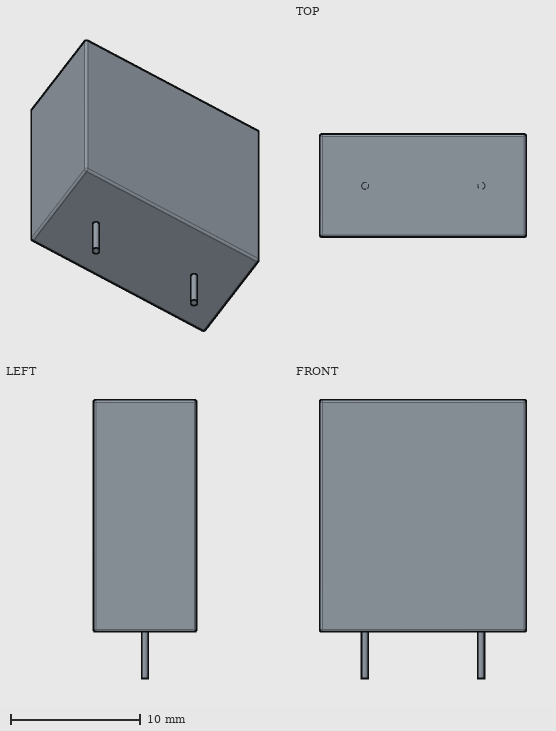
import cadquery as cq

length = 16.0
depth = 8.0
total_height = 21.6

lead_drop = 3.6
housing_height = total_height - lead_drop
edge_radius = 0.2

lead_diameter = 0.55
lead_pitch = 9.0


def make_housing():
    """Rounded block standing on the plane Z = 0."""
    block = cq.Workplane("XY").box(length, depth, housing_height, centered=(True, True, False))
    return block.edges().fillet(edge_radius)


def make_lead(x):
    """Straight round wire hanging from the underside of the housing."""
    return cq.Workplane("XY").center(x, 0).circle(lead_diameter / 2).extrude(-lead_drop)


housing = make_housing()
leads = [make_lead(side * lead_pitch / 2) for side in (-1, 1)]

result = cq.Compound.makeCompound([housing.val(), *[lead.val() for lead in leads]])